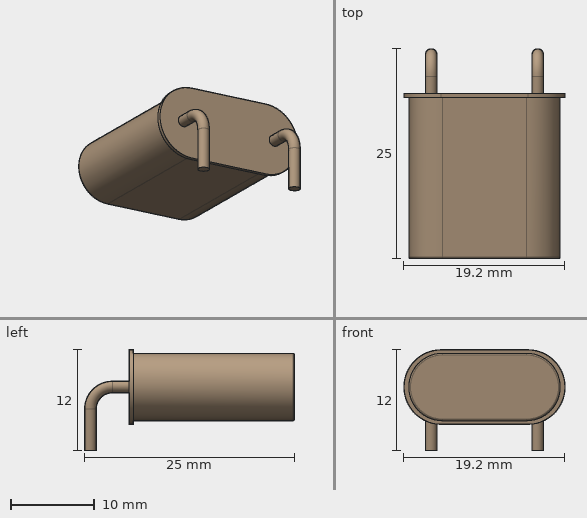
import cadquery as cq

can_width = 18.05
can_height = 8.05
can_length = 19.2
can_edge_radius = 0.2

flange_width = 19.23
flange_height = 8.9
flange_thickness = 0.5

lead_diameter = 1.4
lead_spacing = 12.7
lead_straight = 2.0
lead_bend_radius = 2.62
lead_drop = 7.59


def obround_prism(width, height, start_y, length):
    """Obround in the XZ plane, extruded towards +Y from start_y."""
    plane = cq.Workplane("XZ", origin=(0, start_y, 0))
    return plane.slot2D(width, height).extrude(-length)


def make_can():
    can = obround_prism(can_width, can_height, -can_length, can_length)
    return can.faces("<Y").edges().fillet(can_edge_radius)


def make_flange():
    return obround_prism(flange_width, flange_height, 0, flange_thickness)


def make_lead(x):
    """Straight run, quarter-torus bend and vertical leg of one lead."""
    lead_radius = lead_diameter / 2
    bend_start_y = flange_thickness + lead_straight
    leg_y = bend_start_y + lead_bend_radius

    run = (
        cq.Workplane("XZ", origin=(x, flange_thickness, 0))
        .circle(lead_radius)
        .extrude(-lead_straight)
    )
    bend = (
        cq.Workplane("XZ", origin=(x, bend_start_y, 0))
        .circle(lead_radius)
        .revolve(90, (0, -lead_bend_radius), (-1, -lead_bend_radius))
    )
    leg = (
        cq.Workplane("XY", origin=(x, leg_y, -lead_drop))
        .circle(lead_radius)
        .extrude(lead_drop - lead_bend_radius)
    )
    return run.union(bend).union(leg)


result = make_can().union(make_flange())
for side in (-1, 1):
    result = result.union(make_lead(side * lead_spacing / 2))